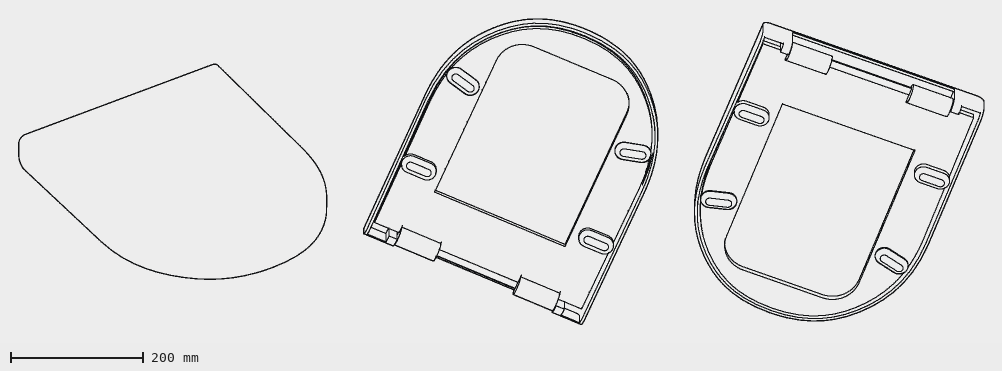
import cadquery as cq
import math


length = 428.5
half_width = 180.5
rear_half_width = 178.5
front_centre_x = length - half_width
side_end_x = 235.0
rear_height = 51.5
slope = 0.049
top_edge_radius = 12.0
rear_bottom_radius = 16.3

wall = 4.3
top_thickness = 4.5
inner_edge_radius = top_edge_radius - wall
notch_half_width = 130.5
notch_corner_radius = 2.0
cheek_width = 13.3
cheek_depth = rear_bottom_radius

seat_gap = 4.3
seat_rear_x = 21.5
seat_top_height = 31.3
seat_underside_height = 20.0
opening_half_width = 107.0
opening_rear_x = 103.0
opening_front_x = 377.0
opening_corner_radius = 43.0

bar_half_width = 129.8
bar_rear_x = 10.3
bar_bottom = 19.5
bar_nose_top = 22.5
bar_crease_x = 17.0
bar_crease_z = 26.0
bar_front_x = 34.3
hinge_radius = 14.5
hinge_x = 17.0
hinge_z = 15.5
hinge_inner_y = 65.5
hinge_length = bar_half_width - hinge_inner_y
hinge_ramp_angle = math.radians(20)
hinge_ramp_end_x = 16.0

foot_bottom = -3.5
foot_tip_radius = 6.0
foot_flare = 7.5
foot_centre_distance = 27.5
rear_foot_centre = (131.5, 145.5)
front_foot_centre = (283.0, 139.5)


def seat_top(x):
    return seat_top_height - slope * x


def seat_underside(x):
    return seat_underside_height - slope * x


def plan_outline(inset, rear_x):
    """Tapered plan with a nearly circular front, inset from the outside of the lid."""
    radius = half_width - inset
    rear_y = rear_half_width - inset
    tip_x = front_centre_x + radius
    diagonal = radius * math.sqrt(0.5)
    return (
        cq.Workplane("XY")
        .moveTo(rear_x, -rear_y)
        .lineTo(side_end_x, -radius)
        .spline(
            [(front_centre_x + diagonal, -diagonal), (tip_x, 0)],
            tangents=[(1, 0), (0, 1)],
            includeCurrent=True,
        )
        .spline(
            [(front_centre_x + diagonal, diagonal), (side_end_x, radius)],
            tangents=[(0, 1), (-1, 0)],
            includeCurrent=True,
        )
        .lineTo(rear_x, rear_y)
        .close()
    )


def sloped_prism(plan, height):
    """Extrude a plan upwards from Z = 0 and cut it with a plane falling towards +X."""
    fall = slope * length
    profile = [(0, 0), (length, 0), (length, height - fall), (0, height)]
    side = cq.Workplane("XZ").polyline(profile).close().extrude(length, both=True)
    return plan.extrude(height).intersect(side)


def lid_shell():
    outer = sloped_prism(plan_outline(0, 0), rear_height)
    outer = outer.faces(">Z").edges("not <X").fillet(top_edge_radius)
    outer = outer.edges("<X and <Z").fillet(rear_bottom_radius)
    cavity = sloped_prism(plan_outline(wall, wall), rear_height - top_thickness)
    cavity = cavity.faces(">Z").edges("not <X").fillet(inner_edge_radius)
    for side in (-1, 1):
        cheek_y = side * (notch_half_width + cheek_width / 2)
        cheek = cq.Workplane("XY").box(2 * cheek_depth, cheek_width, 2 * rear_height)
        cavity = cavity.cut(cheek.translate((0, cheek_y, 0)))
    return outer.cut(cavity)


def hinge_notch():
    notch_height = rear_height - top_thickness
    return (
        cq.Workplane("YZ")
        .rect(2 * notch_half_width, 2 * notch_height)
        .extrude(wall)
        .edges("|X and >Z")
        .fillet(notch_corner_radius)
    )


def seat_ring():
    inset = wall + seat_gap
    ring = sloped_prism(plan_outline(inset, seat_rear_x), seat_top_height)
    below = [(0, -rear_height), (length, -rear_height),
             (length, seat_underside(length)), (0, seat_underside(0))]
    ring = ring.cut(cq.Workplane("XZ").polyline(below).close().extrude(length, both=True))
    opening_length = opening_front_x - opening_rear_x
    opening = (
        cq.Workplane("XY")
        .center(opening_rear_x + opening_length / 2, 0)
        .rect(opening_length, 2 * opening_half_width)
        .extrude(rear_height)
        .edges("|Z and >X")
        .fillet(opening_corner_radius)
    )
    return ring.cut(opening)


def hinge_bar():
    return (
        cq.Workplane("XZ")
        .moveTo(bar_rear_x, bar_bottom)
        .lineTo(bar_rear_x, bar_nose_top)
        .lineTo(bar_crease_x, bar_crease_z)
        .lineTo(bar_front_x, seat_top(bar_front_x))
        .lineTo(bar_front_x, seat_underside(bar_front_x))
        .close()
        .extrude(bar_half_width, both=True)
    )


def hinge_barrel():
    """Barrel from Y = 0 to hinge_length, with a ramp leading up to the seat top."""
    barrel = cq.Workplane("XZ").center(hinge_x, hinge_z).circle(hinge_radius).extrude(-hinge_length)
    tangent = (hinge_x - hinge_radius * math.sin(hinge_ramp_angle),
               hinge_z + hinge_radius * math.cos(hinge_ramp_angle))
    ramp = [(hinge_x, hinge_z), tangent, (hinge_ramp_end_x, seat_top(hinge_ramp_end_x)),
            (bar_front_x, seat_top(bar_front_x)), (bar_front_x, seat_underside(bar_front_x))]
    return barrel.union(cq.Workplane("XZ").polyline(ramp).close().extrude(-hinge_length))


def foot(centre, angle):
    """Long foot with round ends, flared at 45 degrees and reaching up into the ring."""
    x, y = centre
    top_radius = foot_tip_radius + foot_flare
    height = (seat_top(x) + seat_underside(x)) / 2 - foot_bottom
    pad = (
        cq.Workplane("XY")
        .slot2D(foot_centre_distance + 2 * top_radius, 2 * top_radius, angle)
        .extrude(height)
        .faces("<Z")
        .chamfer(foot_flare)
    )
    return pad.translate((x, y, foot_bottom))


lid = lid_shell().cut(hinge_notch())

front_foot_angle = math.degrees(math.atan2(front_foot_centre[1], front_foot_centre[0] - front_centre_x))
seat = seat_ring().union(hinge_bar())
for barrel_y in (hinge_inner_y, -bar_half_width):
    seat = seat.union(hinge_barrel().translate((0, barrel_y, 0)))
for centre, angle in ((rear_foot_centre, 90), (front_foot_centre, front_foot_angle)):
    left_foot = foot(centre, angle)
    seat = seat.union(left_foot).union(left_foot.mirror("XZ"))

result = cq.Compound.makeCompound([lid.solids().val(), seat.solids().val()])